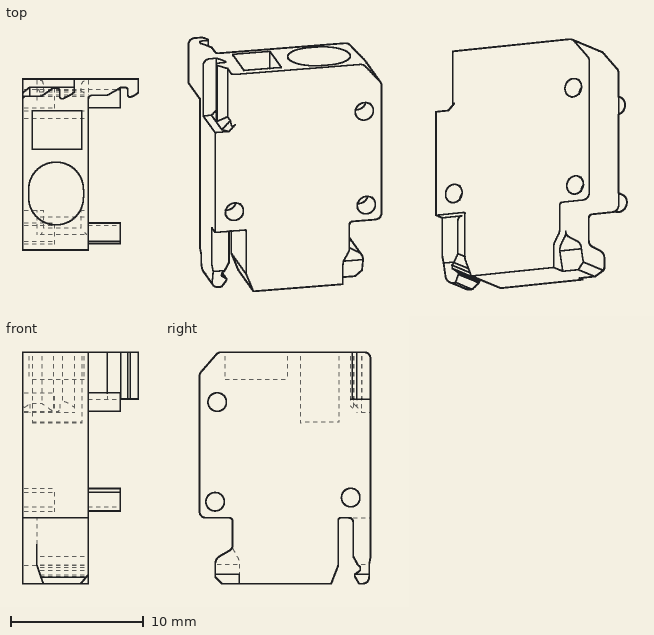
import cadquery as cq

WIDTH = 4.95
DEPTH = 12.9
HEIGHT = 17.45
CORNER_RADIUS = 0.5

SHOULDER_Z = 4.95
BEVEL_DEPTH = 1.43
BEVEL_HEIGHT = 1.64
FOOT_FRONT_Y = 2.5
FOOT_BACK_Y = 10.47
FOOT_TAPER_Z = 1.4
FOOT_TAPER_DEPTH = 0.54
RELIEF_Y = 3.0
RELIEF_TOP_Z = 2.67
RELIEF_BOTTOM_Z = 1.78
RELIEF_RADIUS = 1.05
NECK_RADIUS = 0.25
SLOT_RADIUS = 0.14

HOOK_LEFT_X = 1.05
HOOK_TAPER_Z = 1.47
HOOK_TAPER_WIDTH = 0.5
HOOK_BEVEL_WIDTH = 0.6
HOOK_BEVEL_HEIGHT = 0.72
HOOK_TIP_Y = 1.19
HOOK_ROOT_Z = 2.63
HOOK_TIP_Z = 1.88
HOOK_TIP_RADIUS = 0.7
HOOK_CHAMFER = 0.5
LEG_INNER_Y = 11.57
LEG_ROOT_RADIUS = 0.31
LEG_BACK_TAPER_Z = 2.0
LEG_BOTTOM_BACK_Y = 12.79
LEG_BARB_OUTLINE = [
    (LEG_INNER_Y, 2.08),
    (11.92, 1.43),
    (12.11, 1.25),
    (12.11, 1.01),
    (11.7, 0.7),
    (11.7, 0.55),
    (12.02, 0),
]

PIN_CENTRES = [(1.35, 13.68), (11.4, 6.5), (1.19, 6.18)]
PIN_DIAMETER = 1.4
PIN_LENGTH = 2.39

WIRE_X = 0.73
WIRE_Y = 7.59
WIRE_WIDTH = 3.72
WIRE_DEPTH_Y = 2.9
WIRE_FLOOR_Z = 12.22
WIRE_SLOPE_Y = 0.37
WIRE_SLOPE_DROP = 0.09
SCREW_X = 2.51
SCREW_Y = 4.25
SCREW_WIDTH = 4.14
SCREW_LENGTH = 4.73
SCREW_DEPTH = 2.06

LATCH_ROOT_RADIUS = 0.25
ARM_BOTTOM_Z = 13.9
ARM = {
    "wall_y": 11.64,
    "slope_start_x": 6.35,
    "slope_end_x": 7.4,
    "groove_y": 12.23,
    "barb_x": 7.9,
    "barb_y": 11.5,
    "barb_radius": 0.2,
    "barb_middle": (8.45, 11.65),
    "tip": (8.7, 11.85),
}
RECESS_FLOOR_Z = 12.93
RECESS = {
    "wall_y": 11.59,
    "slope_start_x": 1.43,
    "slope_end_x": 2.29,
    "groove_y": 12.2,
    "barb_x": 2.77,
    "barb_y": 11.38,
    "barb_radius": 0.21,
    "barb_middle": (3.47, 11.6),
    "tip": (3.87, 11.87),
}
RECESS_END_X = RECESS["tip"][0]
RAMP_LEAD_X = 0.52
RAMP_INNER_Y = 10.47
RAMP_OUTER_Y = 12.25
RAMP_LEAD_Y = 11.83

EDGE_MARGIN = 0.009


def side_extrusion(points, left_x, right_x):
    """Extrude a closed (Y, Z) outline from left_x to right_x."""
    sketch = cq.Workplane("YZ").workplane(offset=left_x).polyline(points).close()
    return sketch.extrude(right_x - left_x)


def round_edge(solid, y, z, radius):
    """Round the X-direction edge at (y, z), wherever it lies along X."""
    margin = EDGE_MARGIN
    box = cq.selectors.BoxSelector((0, y - margin, z - margin), (HEIGHT, y + margin, z + margin))
    return solid.edges("|X").edges(box).fillet(radius)


def make_housing():
    outline = [
        (0, SHOULDER_Z),
        (0, HEIGHT - BEVEL_HEIGHT),
        (BEVEL_DEPTH, HEIGHT),
        (DEPTH, HEIGHT),
        (DEPTH, SHOULDER_Z),
        (FOOT_BACK_Y, SHOULDER_Z),
        (FOOT_BACK_Y, FOOT_TAPER_Z),
        (FOOT_BACK_Y - FOOT_TAPER_DEPTH, 0),
        (RELIEF_Y, 0),
        (RELIEF_Y, RELIEF_BOTTOM_Z),
        (FOOT_FRONT_Y, RELIEF_TOP_Z),
        (FOOT_FRONT_Y, SHOULDER_Z),
    ]
    housing = side_extrusion(outline, 0, WIDTH)
    rounded_corners = [
        (0, SHOULDER_Z, CORNER_RADIUS),
        (0, HEIGHT - BEVEL_HEIGHT, CORNER_RADIUS),
        (BEVEL_DEPTH, HEIGHT, CORNER_RADIUS),
        (FOOT_FRONT_Y, SHOULDER_Z, NECK_RADIUS),
        (FOOT_FRONT_Y, RELIEF_TOP_Z, CORNER_RADIUS),
        (RELIEF_Y, RELIEF_BOTTOM_Z, RELIEF_RADIUS),
        (FOOT_BACK_Y, SHOULDER_Z, SLOT_RADIUS),
    ]
    for y, z, radius in rounded_corners:
        housing = round_edge(housing, y, z, radius)
    return housing


def make_front_hook():
    neck_top_z = HOOK_ROOT_Z + CORNER_RADIUS
    outline = [
        (FOOT_FRONT_Y, neck_top_z),
        (FOOT_FRONT_Y, HOOK_ROOT_Z),
        (HOOK_TIP_Y, HOOK_TIP_Z),
        (HOOK_TIP_Y, HOOK_CHAMFER),
        (HOOK_TIP_Y + HOOK_CHAMFER, 0),
        (RELIEF_Y, 0),
        (RELIEF_Y, neck_top_z),
    ]
    hook = side_extrusion(outline, HOOK_LEFT_X, WIDTH)
    hook = round_edge(hook, FOOT_FRONT_Y, HOOK_ROOT_Z, CORNER_RADIUS)
    return round_edge(hook, HOOK_TIP_Y, HOOK_TIP_Z, HOOK_TIP_RADIUS)


def make_back_leg():
    outline = [
        (DEPTH, SHOULDER_Z),
        (LEG_INNER_Y, SHOULDER_Z),
        *LEG_BARB_OUTLINE,
        (LEG_BOTTOM_BACK_Y, 0),
        (LEG_BOTTOM_BACK_Y, HOOK_TAPER_Z),
        (DEPTH, LEG_BACK_TAPER_Z),
    ]
    leg = side_extrusion(outline, HOOK_LEFT_X, WIDTH)
    leg = round_edge(leg, LEG_BOTTOM_BACK_Y, 0, CORNER_RADIUS)
    fillet_start_y = LEG_INNER_Y - LEG_ROOT_RADIUS
    fillet_start_z = SHOULDER_Z - LEG_ROOT_RADIUS
    root_web = (
        cq.Workplane("YZ")
        .workplane(offset=HOOK_LEFT_X)
        .moveTo(LEG_INNER_Y, SHOULDER_Z)
        .lineTo(fillet_start_y, SHOULDER_Z)
        .radiusArc((LEG_INNER_Y, fillet_start_z), LEG_ROOT_RADIUS)
        .close()
        .extrude(WIDTH - HOOK_LEFT_X)
    )
    return leg.union(root_web)


def taper_hook_ends(hook):
    """Narrow a hook toward its bottom on the left and right ends."""
    front_outline = [
        (HOOK_LEFT_X, SHOULDER_Z),
        (HOOK_LEFT_X, HOOK_TAPER_Z),
        (HOOK_LEFT_X + HOOK_TAPER_WIDTH, 0),
        (WIDTH - HOOK_BEVEL_WIDTH, 0),
        (WIDTH, HOOK_BEVEL_HEIGHT),
        (WIDTH, SHOULDER_Z),
    ]
    envelope = cq.Workplane("XZ").polyline(front_outline).close().extrude(-DEPTH)
    return hook.intersect(envelope)


def make_latch_shape(left_x, bottom_z, shape):
    """Extrude a latch outline (root round, slope, groove and barb) up to the top."""
    wall_y = shape["wall_y"]
    groove_y = shape["groove_y"]
    barb_x = shape["barb_x"]
    barb_y = shape["barb_y"]
    barb_radius = shape["barb_radius"]
    tip = shape["tip"]
    return (
        cq.Workplane("XY")
        .workplane(offset=bottom_z)
        .moveTo(left_x, DEPTH)
        .lineTo(left_x, wall_y - LATCH_ROOT_RADIUS)
        .radiusArc((left_x + LATCH_ROOT_RADIUS, wall_y), LATCH_ROOT_RADIUS)
        .lineTo(shape["slope_start_x"], wall_y)
        .lineTo(shape["slope_end_x"], groove_y)
        .lineTo(barb_x - barb_radius, groove_y)
        .radiusArc((barb_x, groove_y - barb_radius), barb_radius)
        .lineTo(barb_x, barb_y + barb_radius)
        .radiusArc((barb_x + barb_radius, barb_y), -barb_radius)
        .threePointArc(shape["barb_middle"], tip)
        .lineTo(tip[0], DEPTH)
        .close()
        .extrude(HEIGHT - bottom_z)
    )


def make_recess_ramp():
    """45 degree ramp along the recess floor, set back at its left end."""

    def ramp_triangle(x, outer_y):
        rise = outer_y - RAMP_INNER_Y
        corners = [
            (RAMP_INNER_Y, RECESS_FLOOR_Z),
            (outer_y, RECESS_FLOOR_Z),
            (RAMP_INNER_Y, RECESS_FLOOR_Z + rise),
        ]
        points = [cq.Vector(x, y, z) for y, z in corners]
        return cq.Wire.makePolygon(points, close=True)

    lead_in = ramp_triangle(0, RAMP_LEAD_Y)
    lead_end = ramp_triangle(RAMP_LEAD_X, RAMP_OUTER_Y)
    far_end = ramp_triangle(RECESS_END_X, RAMP_OUTER_Y)
    lead = cq.Solid.makeLoft([lead_in, lead_end], True)
    straight = cq.Solid.makeLoft([lead_end, far_end], True)
    return cq.Workplane(lead).union(cq.Workplane(straight))


def make_wire_opening():
    back_y = WIRE_Y + WIRE_DEPTH_Y
    outline = [
        (WIRE_Y, HEIGHT),
        (WIRE_Y, WIRE_FLOOR_Z - WIRE_SLOPE_DROP),
        (WIRE_Y + WIRE_SLOPE_Y, WIRE_FLOOR_Z),
        (back_y, WIRE_FLOOR_Z),
        (back_y, HEIGHT),
    ]
    return side_extrusion(outline, WIRE_X, WIRE_X + WIRE_WIDTH)


def make_screw_opening():
    return (
        cq.Workplane("XY")
        .workplane(offset=HEIGHT - SCREW_DEPTH)
        .center(SCREW_X, SCREW_Y)
        .slot2D(SCREW_LENGTH, SCREW_WIDTH, 90)
        .extrude(SCREW_DEPTH)
    )


def make_pegs(start_x):
    """Three coupling cylinders that start at start_x and run along +X."""
    base = cq.Workplane("YZ").workplane(offset=start_x)
    return base.pushPoints(PIN_CENTRES).circle(PIN_DIAMETER / 2).extrude(PIN_LENGTH)


result = make_housing()
result = result.union(make_latch_shape(WIDTH, ARM_BOTTOM_Z, ARM))
result = round_edge(result, DEPTH, HEIGHT, CORNER_RADIUS)
recess = make_latch_shape(0, RECESS_FLOOR_Z, RECESS)
result = result.cut(recess.cut(make_recess_ramp()))
result = result.union(taper_hook_ends(make_front_hook()))
result = result.union(taper_hook_ends(make_back_leg()))
result = result.cut(make_wire_opening())
result = result.cut(make_screw_opening())
result = result.cut(make_pegs(0))
result = result.union(make_pegs(WIDTH))